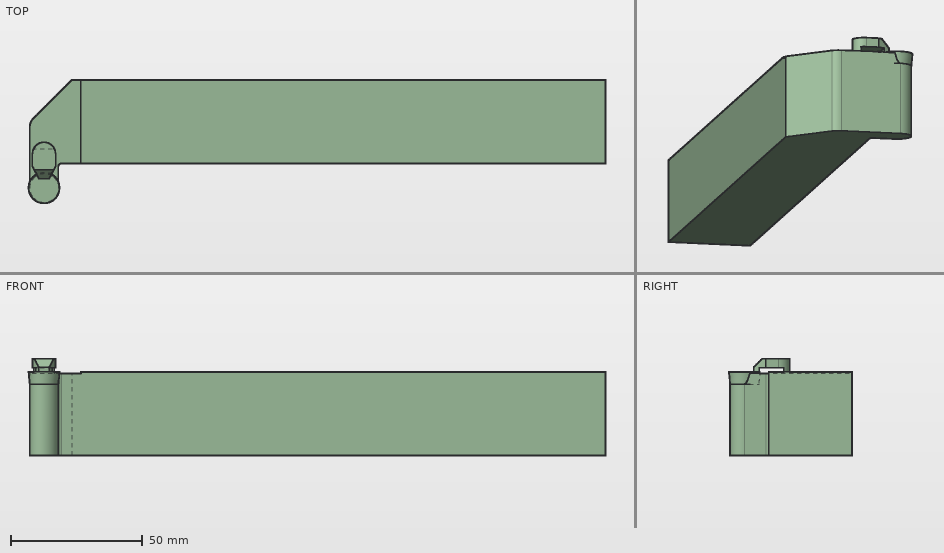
import cadquery as cq

length = 220.0
shank_size = 32.0

insert_radius = 6.0
insert_base_radius = 5.5
insert_thickness = 4.6
insert_x = insert_radius
insert_y = -9.2
seat_z = shank_size - insert_thickness

neck_radius = insert_base_radius
neck_left = insert_x - neck_radius
neck_right = insert_x + neck_radius
bevel_end_x = 16.5
bevel_corner_y = shank_size - (bevel_end_x - neck_left)
bevel_fillet = 4.8
inner_fillet = 1.0
head_length = 20.0
head_drop = 0.5
head_top = shank_size - head_drop

clamp_top = 37.0
clamp_radius = 4.5
clamp_back_y = 8.1
clamp_arc_y = clamp_back_y - clamp_radius
clamp_taper_y = -1.0
clamp_slope_y = -2.5
clamp_nose_y = -5.7
nose_half_width = 2.0
nose_slope_z = clamp_top - (clamp_slope_y - clamp_nose_y)
arch_back_y = 5.7
arch_front_y = -3.5
arch_z = 33.5


def make_insert():
    """Round cutting insert, narrowing towards its seat."""
    return (
        cq.Workplane("XY", origin=(insert_x, insert_y, seat_z))
        .circle(insert_base_radius)
        .workplane(offset=insert_thickness)
        .circle(insert_radius)
        .loft(ruled=True)
    )


def make_shank_and_head():
    """Square shank with the bevelled head and round-ended neck."""
    body = (
        cq.Workplane("XY")
        .moveTo(neck_left, insert_y)
        .threePointArc((insert_x, insert_y - neck_radius), (neck_right, insert_y))
        .lineTo(neck_right, 0)
        .lineTo(length, 0)
        .lineTo(length, shank_size)
        .lineTo(bevel_end_x, shank_size)
        .lineTo(neck_left, bevel_corner_y)
        .close()
        .extrude(shank_size)
    )
    middle_z = shank_size / 2
    body = body.edges(
        cq.selectors.NearestToPointSelector((neck_left, bevel_corner_y, middle_z))
    ).fillet(bevel_fillet)
    body = body.edges(
        cq.selectors.NearestToPointSelector((neck_right, 0, middle_z))
    ).fillet(inner_fillet)

    lowered_top = (
        cq.Workplane("XY", origin=(0, 0, head_top))
        .rect(2 * head_length, 4 * shank_size)
        .extrude(head_drop)
    )
    return body.cut(lowered_top)


def make_clamp():
    """Clamp finger: plan outline trimmed to the arched side profile."""
    plan = (
        cq.Workplane("XY", origin=(insert_x, 0, head_top))
        .moveTo(clamp_radius, clamp_arc_y)
        .threePointArc((0, clamp_back_y), (-clamp_radius, clamp_arc_y))
        .lineTo(-clamp_radius, clamp_taper_y)
        .lineTo(-nose_half_width, clamp_nose_y)
        .lineTo(nose_half_width, clamp_nose_y)
        .lineTo(clamp_radius, clamp_taper_y)
        .close()
        .extrude(clamp_top - head_top)
    )
    side = (
        cq.Workplane("YZ", origin=(insert_x, 0, 0))
        .polyline([
            (clamp_back_y, head_top),
            (clamp_back_y, clamp_top),
            (clamp_slope_y, clamp_top),
            (clamp_nose_y, nose_slope_z),
            (clamp_nose_y, shank_size),
            (arch_front_y, shank_size),
            (arch_front_y, arch_z),
            (arch_back_y, arch_z),
            (arch_back_y, head_top),
        ])
        .close()
        .extrude(clamp_radius, both=True)
    )
    return plan.intersect(side)


insert = make_insert()
holder = make_shank_and_head().union(make_clamp()).cut(insert)

result = cq.Compound.makeCompound([holder.solids().val(), insert.val()])